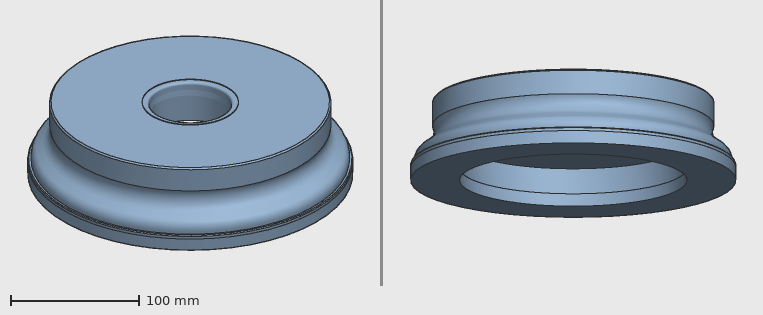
import cadquery as cq
import math

outer_radius = 127.0
height = 63.5
rim_height = 10.0

flange_top = 13.0
flange_chamfer = 0.8
shoulder_radius = 124.5
shoulder_z = 15.2
slope_start_radius = 120.6
slope_start_z = 22.9
slope_end_radius = 114.3
slope_end_z = 27.5
upper_radius = 110.0
upper_band_z = 43.5
top_chamfer = 1.3

bore_radius = 31.8
upper_bore_radius = 32.3
mouth_fillet = 2.0
relief_radius = 37.5
relief_depth = 0.5
taper_top = 56.6
taper_bottom = 51.8

recess_radius = 89.0
recess_ceiling = 30.0


def make_rim_ring():
    """Plain ring that forms the lower face of the wheel."""
    return cq.Workplane("XY").circle(outer_radius).circle(recess_radius).extrude(rim_height)


def make_body_blank():
    """Revolve the solid moulded outline of the wheel body."""
    return (
        cq.Workplane("XZ")
        .moveTo(0, rim_height)
        .lineTo(outer_radius, rim_height)
        .lineTo(outer_radius, flange_top - flange_chamfer)
        .lineTo(outer_radius - flange_chamfer, flange_top)
        .lineTo(shoulder_radius, flange_top)
        .lineTo(shoulder_radius, shoulder_z)
        .tangentArcPoint((slope_start_radius, slope_start_z), relative=False)
        .lineTo(slope_end_radius, slope_end_z)
        .tangentArcPoint((upper_radius, upper_band_z), relative=False)
        .lineTo(upper_radius, height - top_chamfer)
        .lineTo(upper_radius - top_chamfer, height)
        .lineTo(0, height)
        .close()
        .revolve(360, (0, 0, 0), (0, 1, 0))
    )


def make_bore_cutter():
    """Revolve the bore with its slight taper, rounded mouth and shallow relief."""
    relief_floor = height - relief_depth
    mouth_bottom = relief_floor - mouth_fillet
    mouth_radius = upper_bore_radius + mouth_fillet
    arc_reach = mouth_fillet * (1 - math.sqrt(0.5))
    mouth_middle = (upper_bore_radius + arc_reach, relief_floor - arc_reach)
    return (
        cq.Workplane("XZ")
        .moveTo(0, 0)
        .lineTo(bore_radius, 0)
        .lineTo(bore_radius, taper_bottom)
        .lineTo(upper_bore_radius, taper_top)
        .lineTo(upper_bore_radius, mouth_bottom)
        .threePointArc(mouth_middle, (mouth_radius, relief_floor))
        .lineTo(relief_radius, relief_floor)
        .lineTo(relief_radius, height)
        .lineTo(0, height)
        .close()
        .revolve(360, (0, 0, 0), (0, 1, 0))
    )


def make_wheel_body():
    """Moulded body with the underside recess and the central bore removed."""
    recess = cq.Workplane("XY").circle(recess_radius).extrude(recess_ceiling)
    return make_body_blank().cut(recess).cut(make_bore_cutter())


rim_ring = make_rim_ring()
wheel_body = make_wheel_body()

result = cq.Compound.makeCompound([rim_ring.val(), wheel_body.val()])